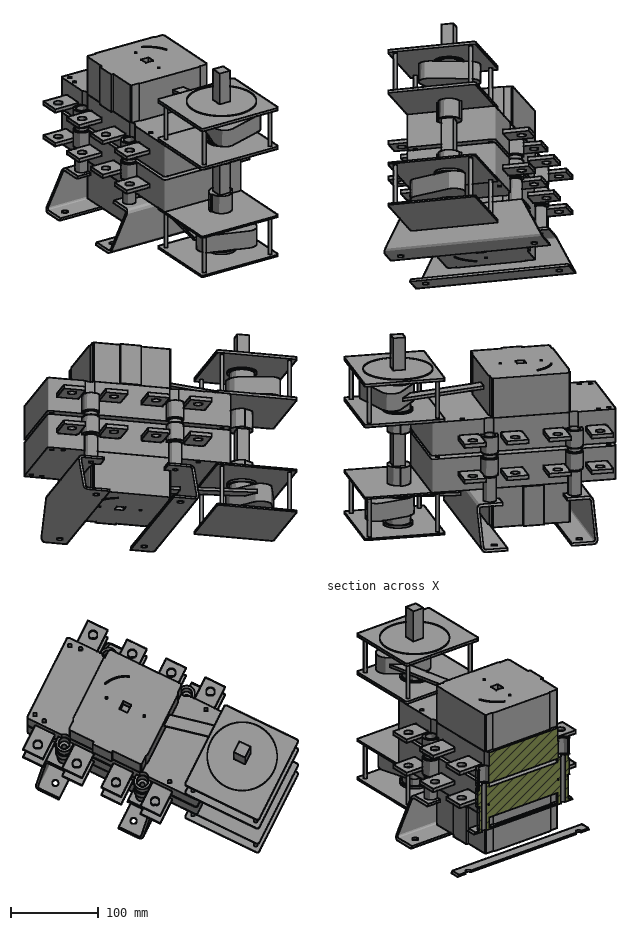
import cadquery as cq
import math


MID_Z = 104.5
TOTAL_HEIGHT = 238.3
TOTAL_LENGTH = 295.0
OVERLAP = 1.5

HOUSING_LENGTH = 216.8
HOUSING_WIDTH = 105.3
HOUSING_HEIGHT = 40.0
HOUSING_GAP = 4.0
HOUSING_CORNER = 2.7
HOUSING_BASE = MID_Z + HOUSING_GAP / 2
HOUSING_TOP = HOUSING_BASE + HOUSING_HEIGHT

CENTRE_X = 99.7
BLOCK_HEIGHT = 47.5
BLOCK_TOP = HOUSING_TOP + BLOCK_HEIGHT
BLOCK_WIDE = 95.0
BLOCK_NARROW = 92.5
BLOCK_WIDTH = 104.7
BLOCK_SIDE_LENGTH = 76.7
BLOCK_SIDE_Y = 0.5
BLOCK_SIDE_RUN = 3.0
BLOCK_BUMP_X = 97.3
BLOCK_BUMP_WIDTH = 24.2
BLOCK_BUMP_DEPTH = 3.0
SOCKET_SIZE = 10.3
SOCKET_DEPTH = 19.2
DOT_DIAMETER = 2.5
DOT_SPACING = 48.0
DOT_DEPTH = 1.5
DIAL_RADIUS = 35.7
DIAL_WIDTH = 1.2
DIAL_DEPTH = 0.5
DIAL_START = 109.0
DIAL_END = 157.0

MOUNT_HOLE_DIAMETER = 4.5
MOUNT_HOLE_X = 6.8
MOUNT_HOLE_Y = 44.8
BLIND_HOLE_X = (19.5, 179.3)
BLIND_HOLE_Y = 47.0
BLIND_HOLE_DEPTH = 17.7

TERMINAL_COUNT = 4
TERMINAL_PITCH = 49.8
TERMINAL_FIRST_X = 23.3
TERMINAL_WIDTH = 25.5
TERMINAL_THICKNESS = 4.5
TERMINAL_REACH = 83.8
TERMINAL_RISE = 23.5
TERMINAL_TOP = MID_Z + TERMINAL_RISE
TERMINAL_HOLE_DIAMETER = 10.0
TERMINAL_HOLE_Y = 71.5
TERMINAL_SLOT_WIDTH = 21.8
TERMINAL_SLOT_HEIGHT = 1.0
TERMINAL_SLOT_DEPTH = 3.0

POST_X = (CENTRE_X - TERMINAL_PITCH, CENTRE_X + TERMINAL_PITCH)
POST_Y = 57.0
POST_DIAMETER = 15.3
POST_HOLE_DIAMETER = 5.5
POST_SHOULDER_Z = 78.8
SPACER_BASE = MID_Z - HOUSING_GAP / 2 - OVERLAP
SPACER_TOP = MID_Z + HOUSING_GAP / 2 + OVERLAP
SLEEVE_DIAMETER = 19.2
SLEEVE_BORE = 13.0
POST_NECK_DIAMETER = SLEEVE_BORE
NOTCH_DIAMETER = 14.0
NOTCH_FLOOR = TERMINAL_TOP + TERMINAL_SLOT_HEIGHT
SLEEVE_CHAMFER = 1.2

BRACKET_SPAN = 137.0
BRACKET_FLANGE = 30.7
BRACKET_HEIGHT = 49.8
BRACKET_THICKNESS = 3.0
BRACKET_BEND = 5.5
BRACKET_FOOT_HALF = 95.0
BRACKET_HEAD_HALF = 69.5
BRACKET_HOLE_DIAMETER = 7.0
BRACKET_HOLE_Y = 79.5

SHAFT_X = 245.5
SHAFT_Y = 6.5
SHAFT_SIZE = 14.2
PLATE_LENGTH = 94.0
PLATE_WIDTH = 104.5
PLATE_CORNER = 2.7
PLATE_X = TOTAL_LENGTH - PLATE_LENGTH / 2
ROD_DIAMETER = 4.5
ROD_SPACING = 80.0
ROD_X = 248.0
ROD_Y = 44.8
DIAL_DISC_DIAMETER = 80.0
DIAL_DISC_HEIGHT = 1.0
DRUM_DIAMETER = 29.0
COLLAR_DIAMETER = 34.0
HUB_SMALL_DIAMETER = 24.8
HUB_HEIGHT = 21.8
CAM_RADIUS = 18.5
CAM_LOBE_RADIUS = 12.7
CAM_LOBE_REACH = 32.1
CAM_LOBE_ANGLES = (-27.0, 63.0)
LINK_WIDTH = 14.2
LINK_THICKNESS = 3.5
LINK_START_Y = 11.0
LINK_END_X = 253.7

UPPER_PLATE_THICKNESS = 3.2
UPPER_COLLAR_HEIGHT = 1.8
UPPER_FRAME_BASE = 146.3
UPPER_FRAME_TOP = 198.5
UPPER_CAM_BASE = 162.2
UPPER_CAM_HEIGHT = 21.0
UPPER_LINK_BASE = 170.8
UPPER_LINK_ANGLE = 12.4

LOWER_PLATE_THICKNESS = 2.0
LOWER_COLLAR_HEIGHT = 2.7
LOWER_FRAME_BASE = 10.5
LOWER_FRAME_TOP = 2 * MID_Z - HOUSING_TOP
LOWER_CAM_BASE = 26.3
LOWER_CAM_HEIGHT = 21.5
LOWER_LINK_BASE = 36.3
LOWER_LINK_ANGLE = -9.3


def box(x0, x1, y0, y1, z0, z1):
    """Box between opposite corners."""
    return cq.Workplane("XY").box(x1 - x0, y1 - y0, z1 - z0, centered=False).translate((x0, y0, z0))


def centred_box(x, y, length, width, z0, z1):
    """Box standing on z0, centred on (x, y)."""
    return box(x - length / 2, x + length / 2, y - width / 2, y + width / 2, z0, z1)


def cylinder(x, y, diameter, z0, z1):
    """Upright cylinder between two heights."""
    return cq.Workplane("XY", origin=(x, y, z0)).circle(diameter / 2).extrude(z1 - z0)


def both_sides(y):
    """The two mirrored Y places."""
    return (-y, y)


def polar(radius, angle, centre=(0, 0)):
    """Point at a distance and an angle in degrees from a centre."""
    a = math.radians(angle)
    return (centre[0] + radius * math.cos(a), centre[1] + radius * math.sin(a))


def block():
    """Raised mechanism block with one rib, dial marks and a square socket."""
    base = HOUSING_TOP - OVERLAP
    body = centred_box(CENTRE_X, 0, BLOCK_NARROW, BLOCK_WIDTH, base, BLOCK_TOP)
    right_side = raised_side()
    body = body.union(right_side).union(right_side.mirror("YZ", (CENTRE_X, 0, 0)))
    front = -BLOCK_WIDTH / 2
    body = body.union(
        box(
            BLOCK_BUMP_X - BLOCK_BUMP_WIDTH / 2,
            BLOCK_BUMP_X + BLOCK_BUMP_WIDTH / 2,
            front - BLOCK_BUMP_DEPTH,
            front + OVERLAP,
            HOUSING_TOP,
            BLOCK_TOP,
        )
    )
    body = body.cut(
        centred_box(CENTRE_X, 0, SOCKET_SIZE, SOCKET_SIZE, BLOCK_TOP - SOCKET_DEPTH, BLOCK_TOP)
    )
    for x in (CENTRE_X - DOT_SPACING / 2, CENTRE_X + DOT_SPACING / 2):
        body = body.cut(cylinder(x, 0, DOT_DIAMETER, BLOCK_TOP - DOT_DEPTH, BLOCK_TOP))
    return body.cut(dial_groove())


def raised_side():
    """Raised area on the +X side of the block, rounded off at both ends."""
    face_x = CENTRE_X + BLOCK_WIDE / 2
    wall_x = CENTRE_X + BLOCK_NARROW / 2
    flat_half = BLOCK_SIDE_LENGTH / 2
    half = (
        cq.Workplane("XY", origin=(0, BLOCK_SIDE_Y, HOUSING_TOP))
        .moveTo(face_x, 0)
        .lineTo(face_x, flat_half)
        .tangentArcPoint((wall_x, flat_half + BLOCK_SIDE_RUN), relative=False)
        .lineTo(CENTRE_X, flat_half + BLOCK_SIDE_RUN)
        .lineTo(CENTRE_X, 0)
        .close()
        .extrude(BLOCK_HEIGHT)
    )
    return half.union(half.mirror("XZ", (0, BLOCK_SIDE_Y, 0)))


def dial_groove():
    """Thin ring sector that engraves the dial arc."""
    inner = DIAL_RADIUS - DIAL_WIDTH / 2
    outer = DIAL_RADIUS + DIAL_WIDTH / 2
    middle = (DIAL_START + DIAL_END) / 2
    return (
        cq.Workplane("XY", origin=(CENTRE_X, 0, BLOCK_TOP - DIAL_DEPTH))
        .moveTo(*polar(inner, DIAL_START))
        .threePointArc(polar(inner, middle), polar(inner, DIAL_END))
        .lineTo(*polar(outer, DIAL_END))
        .threePointArc(polar(outer, middle), polar(outer, DIAL_START))
        .close()
        .extrude(DIAL_DEPTH)
    )


def terminal(x, side):
    """Flat tab with a bolt hole, standing out of one long side."""
    wall = HOUSING_WIDTH / 2 - OVERLAP
    length = TERMINAL_REACH - wall
    middle = side * (wall + length / 2)
    base = TERMINAL_TOP - TERMINAL_THICKNESS
    tab = centred_box(x, middle, TERMINAL_WIDTH, length, base, TERMINAL_TOP)
    return tab.cut(cylinder(x, side * TERMINAL_HOLE_Y, TERMINAL_HOLE_DIAMETER, base, TERMINAL_TOP))


def terminal_slot(x, side):
    """Narrow relief in the housing wall right above a terminal."""
    return centred_box(
        x,
        side * (HOUSING_WIDTH - TERMINAL_SLOT_DEPTH) / 2,
        TERMINAL_SLOT_WIDTH,
        TERMINAL_SLOT_DEPTH,
        TERMINAL_TOP,
        TERMINAL_TOP + TERMINAL_SLOT_HEIGHT,
    )


def sleeve(x, y):
    """Post sleeve with straight walls running from its round outside to the housing."""
    body = cylinder(x, y, SLEEVE_DIAMETER, HOUSING_BASE, TERMINAL_TOP)
    wall = centred_box(x, y / 2, SLEEVE_DIAMETER, abs(y), HOUSING_BASE, TERMINAL_TOP)
    return body.union(wall).faces("<Z").chamfer(SLEEVE_CHAMFER)


def switch_unit():
    """Upper switch unit: housing, block, terminals and post sleeves."""
    unit = box(
        0, HOUSING_LENGTH, -HOUSING_WIDTH / 2, HOUSING_WIDTH / 2, HOUSING_BASE, HOUSING_TOP
    ).edges("|Z").fillet(HOUSING_CORNER)
    unit = unit.union(block())

    for y in both_sides(MOUNT_HOLE_Y):
        unit = unit.cut(cylinder(MOUNT_HOLE_X, y, MOUNT_HOLE_DIAMETER, HOUSING_BASE, HOUSING_TOP))
    for x in BLIND_HOLE_X:
        for y in both_sides(BLIND_HOLE_Y):
            bottom = HOUSING_TOP - BLIND_HOLE_DEPTH
            unit = unit.cut(cylinder(x, y, MOUNT_HOLE_DIAMETER, bottom, HOUSING_TOP))

    for i in range(TERMINAL_COUNT):
        x = TERMINAL_FIRST_X + i * TERMINAL_PITCH
        for side in (-1, 1):
            unit = unit.cut(terminal_slot(x, side)).union(terminal(x, side))

    for x in POST_X:
        for y in both_sides(POST_Y):
            unit = unit.union(sleeve(x, y))
            unit = unit.cut(cylinder(x, y, SLEEVE_BORE, HOUSING_BASE, NOTCH_FLOOR))
            unit = unit.cut(cylinder(x, y, NOTCH_DIAMETER, NOTCH_FLOOR, BLOCK_TOP))
    return unit


def post(x, y):
    """Post from a bracket up through the lower sleeve, ending in the spacer between the units."""
    body = cylinder(x, y, POST_DIAMETER, BRACKET_HEIGHT - OVERLAP, POST_SHOULDER_Z)
    body = body.union(cylinder(x, y, POST_NECK_DIAMETER, POST_SHOULDER_Z, SPACER_BASE))
    return body.union(cylinder(x, y, POST_DIAMETER, SPACER_BASE, SPACER_TOP))


def post_hole(x, y):
    """Bolt hole through a post and the bracket flange under it."""
    return cylinder(x, y, POST_HOLE_DIAMETER, BRACKET_HEIGHT - BRACKET_THICKNESS, SPACER_TOP)


def left_bracket():
    """Bent channel open to +X, with ends sloping in towards the top."""
    back = CENTRE_X - BRACKET_SPAN / 2
    t = BRACKET_THICKNESS
    length = 2 * BRACKET_FOOT_HALF
    outer = centred_box(
        back + BRACKET_FLANGE / 2, 0, BRACKET_FLANGE, length, 0, BRACKET_HEIGHT
    ).edges("<X and |Y").fillet(BRACKET_BEND)
    inner = centred_box(
        back + t + BRACKET_FLANGE / 2, 0, BRACKET_FLANGE, length, t, BRACKET_HEIGHT - t
    ).edges("<X and |Y").fillet(BRACKET_BEND - t)
    trapezoid = (
        cq.Workplane("YZ", origin=(back, 0, 0))
        .moveTo(-BRACKET_FOOT_HALF, 0)
        .lineTo(BRACKET_FOOT_HALF, 0)
        .lineTo(BRACKET_HEAD_HALF, BRACKET_HEIGHT)
        .lineTo(-BRACKET_HEAD_HALF, BRACKET_HEIGHT)
        .close()
        .extrude(BRACKET_FLANGE)
    )
    bracket = outer.cut(inner).intersect(trapezoid)
    for y in both_sides(BRACKET_HOLE_Y):
        bracket = bracket.cut(cylinder(POST_X[0], y, BRACKET_HOLE_DIAMETER, 0, t))
    return bracket


def frame(base, top, thickness, collar_height):
    """Two plates with a collared drum between them."""
    body = cylinder(SHAFT_X, SHAFT_Y, DRUM_DIAMETER, base, top)
    for z in (base, top - thickness):
        plate = centred_box(PLATE_X, 0, PLATE_LENGTH, PLATE_WIDTH, z, z + thickness)
        body = body.union(plate.edges("|Z").fillet(PLATE_CORNER))
    for z in (base + thickness, top - thickness - collar_height):
        body = body.union(cylinder(SHAFT_X, SHAFT_Y, COLLAR_DIAMETER, z, z + collar_height))
    return body


def cam(base, height, mirrored):
    """Round cam with two lobes a quarter turn apart, mirrored across the shaft if asked."""
    spread = math.degrees(math.acos((CAM_RADIUS - CAM_LOBE_RADIUS) / CAM_LOBE_REACH))
    lobes = [polar(CAM_LOBE_REACH, angle) for angle in CAM_LOBE_ANGLES]
    body = cylinder(0, 0, 2 * CAM_RADIUS, 0, height)
    for centre, angle in zip(lobes, CAM_LOBE_ANGLES):
        arm = [
            polar(CAM_RADIUS, angle - spread),
            polar(CAM_LOBE_RADIUS, angle - spread, centre),
            polar(CAM_LOBE_RADIUS, angle + spread, centre),
            polar(CAM_RADIUS, angle + spread),
        ]
        body = body.union(cq.Workplane("XY").polyline(arm).close().extrude(height))
        body = body.union(cylinder(*centre, 2 * CAM_LOBE_RADIUS, 0, height))
    bisector = sum(CAM_LOBE_ANGLES) / 2
    tangent = [polar(CAM_LOBE_RADIUS, bisector, centre) for centre in lobes]
    web = [(0, 0), lobes[0], *tangent, lobes[1]]
    body = body.union(cq.Workplane("XY").polyline(web).close().extrude(height))
    if mirrored:
        body = body.mirror("XZ")
    return body.translate((SHAFT_X, SHAFT_Y, base))


def link(base, angle):
    """Flat bar from the side of a block to a cam lobe, swung towards +Y by an angle."""
    start_x = CENTRE_X + BLOCK_WIDE / 2
    length = (LINK_END_X - start_x) / math.cos(math.radians(angle))
    start_y = math.copysign(LINK_START_Y, angle)
    bar = box(-OVERLAP, length, -LINK_WIDTH / 2, LINK_WIDTH / 2, base, base + LINK_THICKNESS)
    return bar.rotate((0, 0, 0), (0, 0, 1), angle).translate((start_x, start_y, 0))


def hub(base):
    """Coupling hub whose +X half has a smaller radius."""
    top = base + HUB_HEIGHT
    half = DRUM_DIAMETER / 2
    left = cylinder(SHAFT_X, SHAFT_Y, DRUM_DIAMETER, base, top)
    left = left.cut(box(SHAFT_X, SHAFT_X + half, SHAFT_Y - half, SHAFT_Y + half, base, top))
    return left.union(cylinder(SHAFT_X, SHAFT_Y, HUB_SMALL_DIAMETER, base, top))


def drive():
    """Both frames with their cams, the coupling hubs, the shaft and the corner rods."""
    body = frame(UPPER_FRAME_BASE, UPPER_FRAME_TOP, UPPER_PLATE_THICKNESS, UPPER_COLLAR_HEIGHT)
    body = body.union(
        frame(LOWER_FRAME_BASE, LOWER_FRAME_TOP, LOWER_PLATE_THICKNESS, LOWER_COLLAR_HEIGHT)
    )
    body = body.union(cam(UPPER_CAM_BASE, UPPER_CAM_HEIGHT, False))
    body = body.union(cam(LOWER_CAM_BASE, LOWER_CAM_HEIGHT, True))
    body = body.union(hub(UPPER_FRAME_BASE - HUB_HEIGHT)).union(hub(LOWER_FRAME_TOP))
    disc_top = UPPER_FRAME_TOP + DIAL_DISC_HEIGHT
    body = body.union(cylinder(SHAFT_X, SHAFT_Y, DIAL_DISC_DIAMETER, UPPER_FRAME_TOP, disc_top))
    body = body.union(
        centred_box(SHAFT_X, SHAFT_Y, SHAFT_SIZE, SHAFT_SIZE, LOWER_FRAME_TOP, TOTAL_HEIGHT)
    )
    left_x = ROD_X - ROD_SPACING / 2
    right_x = ROD_X + ROD_SPACING / 2
    for y in both_sides(ROD_Y):
        body = body.union(cylinder(left_x, y, ROD_DIAMETER, LOWER_FRAME_BASE, UPPER_FRAME_TOP))
        body = body.union(cylinder(right_x, y, ROD_DIAMETER, LOWER_FRAME_BASE, LOWER_FRAME_TOP))
        body = body.union(cylinder(right_x, y, ROD_DIAMETER, UPPER_FRAME_BASE, UPPER_FRAME_TOP))
    return body


upper_unit = switch_unit()
lower_unit = upper_unit.rotate((0, 0, MID_Z), (1, 0, MID_Z), 180)
bracket = left_bracket()
right_bracket = bracket.mirror("YZ", (CENTRE_X, 0, 0))

result = upper_unit.union(lower_unit).union(bracket).union(right_bracket)
for post_x in POST_X:
    for post_y in both_sides(POST_Y):
        result = result.union(post(post_x, post_y)).cut(post_hole(post_x, post_y))
result = result.union(drive())
result = result.union(link(UPPER_LINK_BASE, UPPER_LINK_ANGLE))
result = result.union(link(LOWER_LINK_BASE, LOWER_LINK_ANGLE))